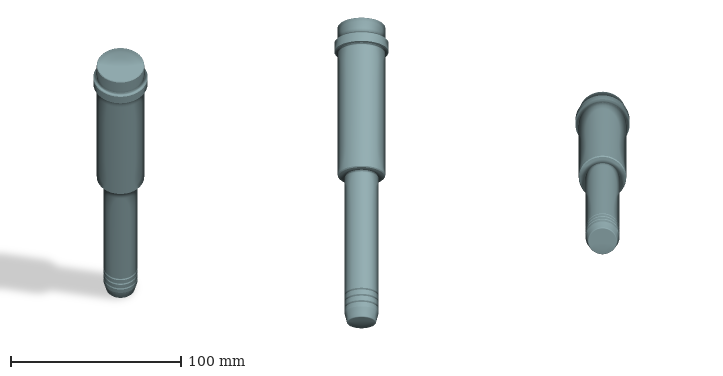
import cadquery as cq

total_length = 190.0

body_diameter = 28.0
collar_diameter = 32.0
pin_diameter = 20.0
nose_diameter = 17.0

collar_top = 180.0
collar_bottom = 174.0
shoulder = 94.0
nose_length = 6.0

head_chamfer = 0.4
body_chamfer = 0.5
collar_chamfer = 0.4
nose_tip_radius = 0.5

collar_relief_width = 1.1
collar_relief_depth = 0.5

pin_relief_width = 1.1
pin_relief_depth = 0.4

groove_count = 3
groove_pitch = 4.0
groove_width = 1.1
groove_depth = 0.5
lowest_groove_bottom = 9.0


def cylinder(diameter, bottom, top):
    return cq.Workplane("XY", origin=(0, 0, bottom)).circle(diameter / 2).extrude(top - bottom)


def v_groove_cutter(diameter, depth, bottom, width):
    """Ring that sinks a V-shaped groove into a shaft of the given diameter."""
    radius = diameter / 2
    return (
        cq.Workplane("XZ")
        .moveTo(radius, bottom)
        .lineTo(radius - depth, bottom + width / 2)
        .lineTo(radius, bottom + width)
        .close()
        .revolve(360, (0, 0, 0), (0, 1, 0))
    )


def make_body():
    """Thick upper shaft with broken end edges and a relief on each side of the collar."""
    body = cylinder(body_diameter, shoulder, total_length)
    body = body.faces(">Z").edges().chamfer(head_chamfer)
    body = body.faces("<Z").edges().chamfer(body_chamfer)
    for bottom in (collar_top, collar_bottom - collar_relief_width):
        body = body.cut(v_groove_cutter(body_diameter, collar_relief_depth, bottom, collar_relief_width))
    return body


def make_collar():
    """Flange around the body with a chamfered upper rim."""
    return cylinder(collar_diameter, collar_bottom, collar_top).faces(">Z").edges().chamfer(collar_chamfer)


def make_nose():
    """Tapered lower end of the pin with a rounded tip edge."""
    nose = (
        cq.Workplane("XY")
        .circle(nose_diameter / 2)
        .workplane(offset=nose_length)
        .circle(pin_diameter / 2)
        .loft(ruled=True)
    )
    return nose.faces("<Z").edges().fillet(nose_tip_radius)


def make_pin():
    """Slim lower shaft with its nose, its grooves and the relief under the shoulder."""
    relief_bottom = shoulder - pin_relief_width
    pin = make_nose().union(cylinder(pin_diameter, nose_length, relief_bottom))
    pin = pin.union(cylinder(pin_diameter - 2 * pin_relief_depth, relief_bottom, shoulder))
    for index in range(groove_count):
        bottom = lowest_groove_bottom + index * groove_pitch
        pin = pin.cut(v_groove_cutter(pin_diameter, groove_depth, bottom, groove_width))
    return pin


result = make_body().union(make_collar()).union(make_pin())